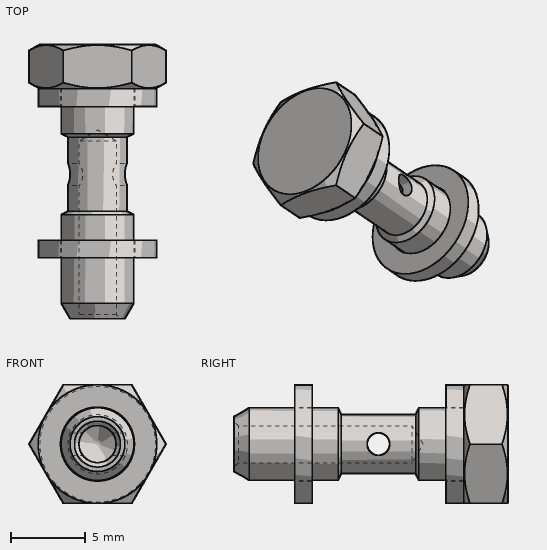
import cadquery as cq
import math


HEAD_ACROSS_FLATS = 8.0
HEAD_HEIGHT = 3.0
HEAD_CHAMFER_ANGLE = 30.0
HEAD_FACE_DIAMETER = 7.8

SHANK_LENGTH = 15.5
SHANK_DIAMETER = 4.9
TIP_DIAMETER = 3.7
TIP_CHAMFER_ANGLE = 30.0

NECK_DIAMETER = 4.0
NECK_LENGTH = 5.0
NECK_SHOULDER = 0.22
NECK_CENTER = 5.75

BORE_DIAMETER = 2.5
BORE_DEPTH = 12.0
BORE_POINT_ANGLE = 118.0
BORE_CHAMFER = 0.3
CROSS_HOLE_DIAMETER = 1.5

WASHER_OUTER_DIAMETER = 8.0
WASHER_INNER_DIAMETER = 5.0
WASHER_THICKNESS = 1.2
WASHER_GAP = 9.0


def revolve_about_y(points):
    """Closed (radius, y) outline turned about the Y axis."""
    return cq.Workplane("XY").polyline(points).close().revolve(360, (0, 0, 0), (0, 1, 0))


def make_head():
    corner_radius = HEAD_ACROSS_FLATS / math.sqrt(3)
    face_radius = HEAD_FACE_DIAMETER / 2
    chamfer_height = (corner_radius - face_radius) * math.tan(math.radians(HEAD_CHAMFER_ANGLE))
    hexagon = cq.Workplane("XZ").polygon(6, 2 * corner_radius).extrude(-HEAD_HEIGHT)
    chamfer_envelope = revolve_about_y([
        (0, 0),
        (face_radius, 0),
        (corner_radius, chamfer_height),
        (corner_radius, HEAD_HEIGHT - chamfer_height),
        (face_radius, HEAD_HEIGHT),
        (0, HEAD_HEIGHT),
    ])
    return hexagon.intersect(chamfer_envelope)


def make_shank():
    shank_radius = SHANK_DIAMETER / 2
    neck_radius = NECK_DIAMETER / 2
    tip_radius = TIP_DIAMETER / 2
    tip_length = (shank_radius - tip_radius) / math.tan(math.radians(TIP_CHAMFER_ANGLE))
    neck_top = -NECK_CENTER + NECK_LENGTH / 2
    neck_bottom = -NECK_CENTER - NECK_LENGTH / 2
    return revolve_about_y([
        (0, 0),
        (shank_radius, 0),
        (shank_radius, neck_top + NECK_SHOULDER),
        (neck_radius, neck_top),
        (neck_radius, neck_bottom),
        (shank_radius, neck_bottom - NECK_SHOULDER),
        (shank_radius, -SHANK_LENGTH + tip_length),
        (tip_radius, -SHANK_LENGTH),
        (0, -SHANK_LENGTH),
    ])


def make_bore():
    """Blind drilled bore from the tip, with a conical end and a chamfered mouth."""
    bore_radius = BORE_DIAMETER / 2
    point_length = bore_radius / math.tan(math.radians(BORE_POINT_ANGLE / 2))
    bore_end = -SHANK_LENGTH + BORE_DEPTH
    return revolve_about_y([
        (0, -SHANK_LENGTH),
        (bore_radius + BORE_CHAMFER, -SHANK_LENGTH),
        (bore_radius, -SHANK_LENGTH + BORE_CHAMFER),
        (bore_radius, bore_end),
        (0, bore_end + point_length),
    ])


def make_cross_hole():
    """Radial hole along X, right through the middle of the neck."""
    return (
        cq.Workplane("YZ")
        .center(-NECK_CENTER, 0)
        .circle(CROSS_HOLE_DIAMETER / 2)
        .extrude(SHANK_DIAMETER / 2, both=True)
    )


def make_bolt():
    return make_head().union(make_shank()).cut(make_bore()).cut(make_cross_hole())


def make_washer(top_y):
    """Flat ring whose head-side face lies at top_y."""
    return (
        cq.Workplane("XZ", origin=(0, top_y, 0))
        .circle(WASHER_OUTER_DIAMETER / 2)
        .circle(WASHER_INNER_DIAMETER / 2)
        .extrude(WASHER_THICKNESS)
    )


bolt = make_bolt()

washer_tops = [0, -(WASHER_THICKNESS + WASHER_GAP)]
washers = [make_washer(top_y) for top_y in washer_tops]

result = cq.Compound.makeCompound([bolt.val(), *[washer.val() for washer in washers]])